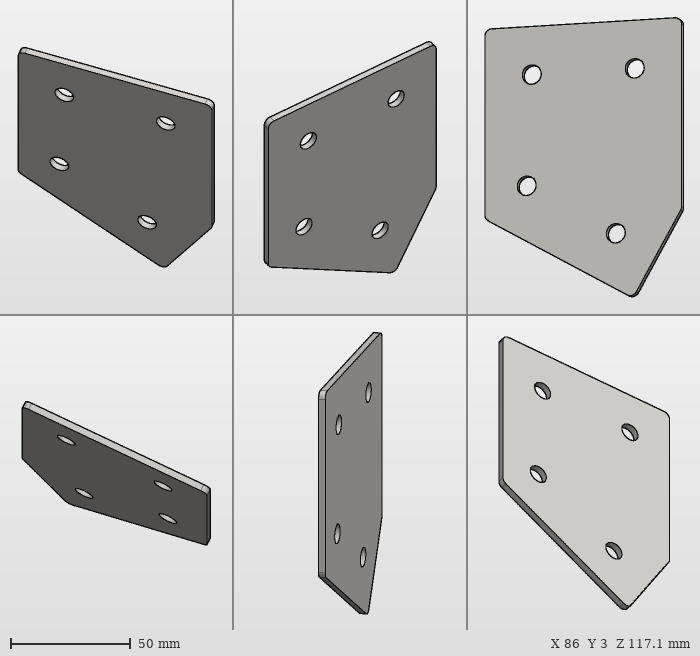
import cadquery as cq
import math

width = 86.0
thickness = 3.0
height = 117.11
corner_radius = 3.0
tail_tilt = math.radians(30)
short_edge_length = 42.5

hole_diameter = 8.2
hole_spacing = 45.0
hole_margin = (width - hole_spacing) / 2

along_long_edge = (-math.cos(tail_tilt), math.sin(tail_tilt))
along_short_edge = (math.sin(tail_tilt), math.cos(tail_tilt))

tip_rounding_loss = corner_radius * (along_long_edge[1] + along_short_edge[1] - 1)
tip = (
    width - short_edge_length * along_short_edge[0],
    -height - tip_rounding_loss,
)


def point_from_tip(long_distance, short_distance):
    """Point reached from the sharp tip by moving along the two tail edges."""
    return tuple(
        start + long_distance * long_step + short_distance * short_step
        for start, long_step, short_step in zip(tip, along_long_edge, along_short_edge)
    )


def plate_outline():
    """Sharp corners in X and Z, with the top left corner at the origin."""
    long_edge_length = tip[0] / math.cos(tail_tilt)
    return [
        (0, 0),
        (width, 0),
        point_from_tip(0, short_edge_length),
        tip,
        point_from_tip(long_edge_length, 0),
    ]


def hole_centres():
    return [
        (hole_margin, -hole_margin),
        (hole_margin + hole_spacing, -hole_margin),
        point_from_tip(hole_margin, hole_margin),
        point_from_tip(hole_margin + hole_spacing, hole_margin),
    ]


def make_plate():
    plate = cq.Workplane("XZ").polyline(plate_outline()).close().extrude(-thickness)
    return plate.edges("|Y").fillet(corner_radius)


def make_holes():
    return cq.Workplane("XZ").pushPoints(hole_centres()).circle(hole_diameter / 2).extrude(-thickness)


result = make_plate().cut(make_holes())